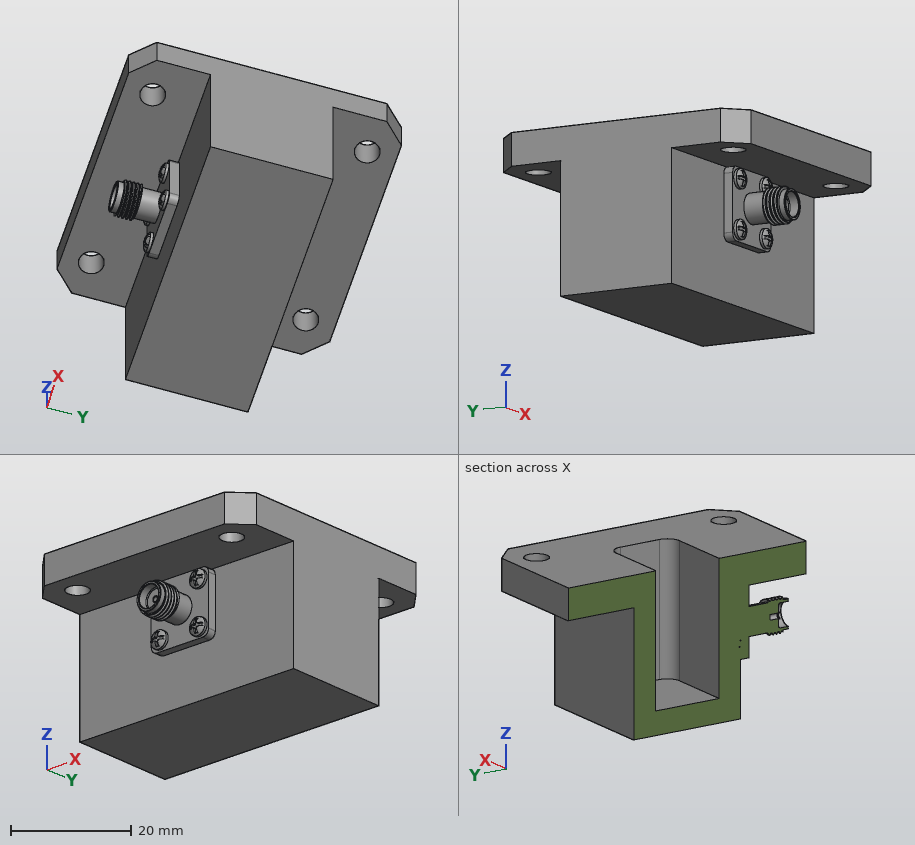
import cadquery as cq

flange_side = 47.62
flange_thickness = 5.77
corner_chamfer = 3.75
mount_hole_diameter = 4.29
mount_hole_pitch_x = 34.34
mount_hole_pitch_y = 37.44

total_height = 28.83
body_depth = 21.4
guide_length = 28.5
guide_width = 12.62
guide_corner_radius = 2.4
guide_floor_thickness = (body_depth - guide_width) / 2

plate_side = 12.75
plate_thickness = 1.7
plate_corner_radius = 1.3
connector_drop = 6.32
connector_z = -flange_thickness - connector_drop
plate_face_y = -body_depth / 2 - plate_thickness

barrel_diameter = 5.33
barrel_length = 7.85
barrel_tip_chamfer = 0.1
bore_mouth_diameter = 4.52
bore_diameter = 4.29
bore_depth = 1.9
bore_floor_diameter = 3.95
contact_diameter = 1.17
contact_height = 0.2
contact_hole_diameter = 0.91
contact_hole_depth = 1.9

thread_diameter = 6.35
thread_pitch = 25.4 / 36
thread_start = 3.68
thread_length = 3.08
thread_core_diameter = 5.7
thread_phase_angle = 45
thread_root_width = 0.62
thread_crest_width = 0.12
thread_overlap = 0.1

screw_pitch = 8.64
head_diameter = 3.45
head_rim_height = 0.5
head_height = 1.15
recess_span = 2.58
recess_arm_width = 0.6
recess_core_diameter = 1.02
recess_depth = 0.6


def outward_plane(x, z):
    """Plane on the outer face of the connector plate, facing -Y."""
    return cq.Plane(origin=(x, plate_face_y, z), xDir=(1, 0, 0), normal=(0, -1, 0))


def make_flange():
    return (
        cq.Workplane("XY")
        .rect(flange_side, flange_side)
        .extrude(-flange_thickness)
        .edges("|Z")
        .chamfer(corner_chamfer)
    )


def make_body():
    return cq.Workplane("XY").rect(flange_side, body_depth).extrude(-total_height)


def make_guide_cavity():
    return (
        cq.Workplane("XY")
        .rect(guide_length, guide_width)
        .extrude(guide_floor_thickness - total_height)
        .edges("|Z")
        .fillet(guide_corner_radius)
    )


def make_mount_holes():
    return (
        cq.Workplane("XY")
        .rect(mount_hole_pitch_x, mount_hole_pitch_y, forConstruction=True)
        .vertices()
        .circle(mount_hole_diameter / 2)
        .extrude(-flange_thickness)
    )


def make_connector_plate():
    return (
        cq.Workplane(outward_plane(0, connector_z))
        .rect(plate_side, plate_side)
        .extrude(-plate_thickness)
        .edges("|Y")
        .fillet(plate_corner_radius)
    )


def make_thread():
    """Threaded band along +Z: a core cylinder and a helical ridge trimmed to its length."""
    band = cq.Workplane("XY", origin=(0, 0, thread_start))
    envelope = band.circle(thread_diameter).extrude(thread_length)

    long_start = thread_start - thread_pitch
    long_length = thread_length + 2 * thread_pitch
    core_margin = 2 * thread_pitch
    core = (
        cq.Workplane("XY", origin=(0, 0, long_start - core_margin))
        .circle(thread_core_diameter / 2)
        .extrude(long_length + 2 * core_margin)
    )
    root_radius = thread_core_diameter / 2 - thread_overlap
    crest_radius = thread_diameter / 2
    path = cq.Wire.makeHelix(thread_pitch, long_length, root_radius)
    ridge = (
        cq.Workplane("XZ")
        .moveTo(root_radius, -thread_root_width / 2)
        .lineTo(crest_radius, -thread_crest_width / 2)
        .lineTo(crest_radius, thread_crest_width / 2)
        .lineTo(root_radius, thread_root_width / 2)
        .close()
        .sweep(cq.Workplane(path), isFrenet=True)
        .rotate((0, 0, 0), (0, 0, 1), thread_phase_angle)
        .translate((0, 0, long_start))
    )
    return core.union(ridge).intersect(envelope)


def make_bore():
    """Bore opening at the barrel tip, bevelled at its mouth and around its floor."""
    mouth_radius = bore_mouth_diameter / 2
    wall_radius = bore_diameter / 2
    floor_radius = bore_floor_diameter / 2
    floor_height = barrel_length - bore_depth
    return (
        cq.Workplane("XZ")
        .moveTo(0, floor_height)
        .lineTo(floor_radius, floor_height)
        .lineTo(wall_radius, floor_height + wall_radius - floor_radius)
        .lineTo(wall_radius, barrel_length - (mouth_radius - wall_radius))
        .lineTo(mouth_radius, barrel_length)
        .lineTo(0, barrel_length)
        .close()
        .revolve(360, (0, 0, 0), (0, 1, 0))
    )


def make_barrel():
    """Threaded barrel along +Z with its bore and hollow centre contact."""
    barrel = (
        cq.Workplane("XY")
        .circle(barrel_diameter / 2)
        .extrude(barrel_length)
        .faces(">Z")
        .edges()
        .chamfer(barrel_tip_chamfer)
    )
    barrel = barrel.union(make_thread()).cut(make_bore())
    floor = cq.Workplane("XY", origin=(0, 0, barrel_length - bore_depth))
    barrel = barrel.union(floor.circle(contact_diameter / 2).extrude(contact_height))
    contact_top = floor.workplane(offset=contact_height)
    return barrel.cut(contact_top.circle(contact_hole_diameter / 2).extrude(-contact_hole_depth))


def make_screw_head():
    """Head along +Z: a short rim, a spherical dome and a cross recess."""
    rim_radius = head_diameter / 2
    dome_height = head_height - head_rim_height
    dome_radius = (rim_radius**2 + dome_height**2) / (2 * dome_height)
    dome = cq.Workplane("XY", origin=(0, 0, head_height - dome_radius)).sphere(dome_radius)
    head = cq.Workplane("XY").circle(rim_radius).extrude(head_height).intersect(dome)
    top = cq.Workplane("XY", origin=(0, 0, head_height))
    head = head.cut(top.rect(recess_span, recess_arm_width).extrude(-recess_depth))
    head = head.cut(top.rect(recess_arm_width, recess_span).extrude(-recess_depth))
    return head.cut(top.circle(recess_core_diameter / 2).extrude(-recess_depth))


def place_on_plate(shape, x, z):
    """Move a shape built along +Z so that it stands on the connector plate."""
    return cq.Workplane(shape.val().moved(outward_plane(x, z).location))


result = make_flange().union(make_body())
result = result.cut(make_guide_cavity()).cut(make_mount_holes())
result = result.union(make_connector_plate())
result = result.union(place_on_plate(make_barrel(), 0, connector_z))
screw_head = make_screw_head()
for x_side in (-1, 1):
    for z_side in (-1, 1):
        screw_x = x_side * screw_pitch / 2
        screw_z = connector_z + z_side * screw_pitch / 2
        result = result.union(place_on_plate(screw_head, screw_x, screw_z))